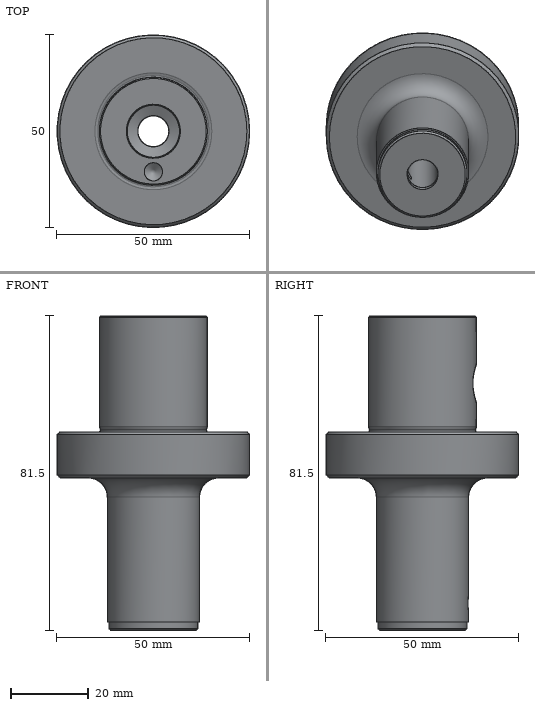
import cadquery as cq
import math

total_height = 81.5
tip_height = 2.1
flange_height = 12.0
upper_shaft_length = 30.0
flange_top = total_height - upper_shaft_length
flange_bottom = flange_top - flange_height

flange_radius = 24.98
upper_shaft_radius = 14.0
lower_shaft_radius = 12.0
tip_radius = 11.6
flange_top_chamfer = 0.7
flange_bottom_chamfer = 0.8
upper_shaft_chamfer = 0.3
tip_chamfer = 0.5
shoulder_fillet = 5.0

relief_depth = 0.25
relief_face_depth = 0.2
relief_outer_radius = 15.15
relief_floor_radius = 14.4
relief_shaft_height = 1.3
relief_corner_radius = 0.65

through_radius = 4.0
bore_radius = 6.8
bore_depth = 30.0
bore_point_angle = 140.0
bore_mouth_chamfer = 0.25

side_hole_radius = 2.4
side_hole_offset = 10.5
side_hole_depth = 12.2
side_hole_point_angle = 118.0

upper_port_radius = 5.0
upper_port_height = 64.05
lower_port_radius = 1.95
lower_port_height = 7.0


def drill_point_height(radius, point_angle):
    """Height of the cone left by a drill of the given radius and full point angle."""
    return radius / math.tan(math.radians(point_angle / 2))


def turned_blank():
    """Solid of revolution: both shafts, the flange, its fillet and the relief groove."""
    neck_radius = upper_shaft_radius - relief_depth
    relief_floor = flange_top - relief_face_depth
    corner_x = neck_radius + relief_corner_radius
    corner_z = relief_floor + relief_corner_radius
    arc_reach = relief_corner_radius * math.sqrt(0.5)
    fillet_x = lower_shaft_radius + shoulder_fillet
    fillet_z = flange_bottom - shoulder_fillet
    fillet_reach = shoulder_fillet * math.sqrt(0.5)
    profile = (
        cq.Workplane("XZ")
        .moveTo(0, tip_height)
        .lineTo(lower_shaft_radius, tip_height)
        .lineTo(lower_shaft_radius, fillet_z)
        .threePointArc((fillet_x - fillet_reach, fillet_z + fillet_reach), (fillet_x, flange_bottom))
        .lineTo(flange_radius - flange_bottom_chamfer, flange_bottom)
        .lineTo(flange_radius, flange_bottom + flange_bottom_chamfer)
        .lineTo(flange_radius, flange_top - flange_top_chamfer)
        .lineTo(flange_radius - flange_top_chamfer, flange_top)
        .lineTo(relief_outer_radius, flange_top)
        .lineTo(relief_floor_radius, relief_floor)
        .threePointArc((corner_x - arc_reach, corner_z - arc_reach), (neck_radius, corner_z))
        .lineTo(upper_shaft_radius, flange_top + relief_shaft_height)
        .lineTo(upper_shaft_radius, total_height - upper_shaft_chamfer)
        .lineTo(upper_shaft_radius - upper_shaft_chamfer, total_height)
        .lineTo(0, total_height)
        .close()
    )
    return profile.revolve(360, (0, 0, 0), (0, 1, 0))


def central_bore():
    """Cutter for the through hole, the wide bore with its drill cone, and the mouth chamfer."""
    bore_bottom = total_height - bore_depth
    cone_drop = drill_point_height(bore_radius - through_radius, bore_point_angle)
    profile = (
        cq.Workplane("XZ")
        .moveTo(0, 0)
        .lineTo(through_radius, 0)
        .lineTo(through_radius, bore_bottom - cone_drop)
        .lineTo(bore_radius, bore_bottom)
        .lineTo(bore_radius, total_height - bore_mouth_chamfer)
        .lineTo(bore_radius + bore_mouth_chamfer, total_height)
        .lineTo(0, total_height)
        .close()
    )
    return profile.revolve(360, (0, 0, 0), (0, 1, 0))


def side_hole():
    """Cutter for the blind hole with a conical bottom, on the -Y side of the bore."""
    hole_bottom = total_height - side_hole_depth
    point_height = drill_point_height(side_hole_radius, side_hole_point_angle)
    profile = (
        cq.Workplane("XZ")
        .moveTo(0, total_height)
        .lineTo(side_hole_radius, total_height)
        .lineTo(side_hole_radius, hole_bottom)
        .lineTo(0, hole_bottom - point_height)
        .close()
    )
    return profile.revolve(360, (0, 0, 0), (0, 1, 0)).translate((0, -side_hole_offset, 0))


def cross_hole(radius, height):
    """Cutter for a radial hole that runs from the axis out through the +Y side."""
    return cq.Workplane("XZ").center(0, height).circle(radius).extrude(-upper_shaft_radius)


def make_spindle():
    """Flanged spindle with its bore, blind hole and cross holes."""
    body = turned_blank().cut(central_bore()).cut(side_hole())
    body = body.cut(cross_hole(upper_port_radius, upper_port_height))
    return body.cut(cross_hole(lower_port_radius, lower_port_height))


def make_end_ring():
    """Chamfered ring on the lower end of the spindle, around the through hole."""
    ring = cq.Workplane("XY").circle(tip_radius).extrude(tip_height).faces("<Z").chamfer(tip_chamfer)
    return ring.cut(cq.Workplane("XY").circle(through_radius).extrude(tip_height))


spindle = make_spindle()
end_ring = make_end_ring()

result = cq.Compound.makeCompound([spindle.val(), end_ring.val()])